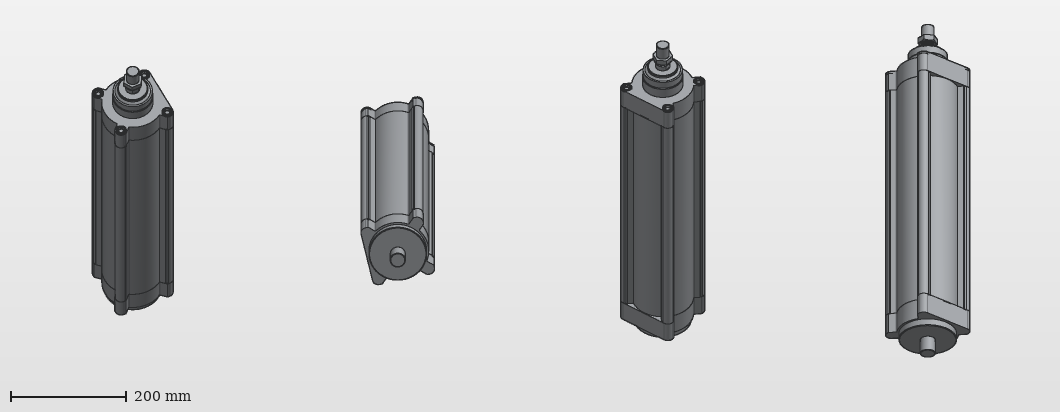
import cadquery as cq
import math

rear_shaft_end = 0.0
spigot_bottom = 27.5
rear_cap_bottom = 40.5
barrel_bottom = 78.5
barrel_top = 526.0
front_cap_top = 564.0
collar_step = 584.5
collar_top = 597.5
wiper_cone_top = 601.0
wiper_top = 605.5
rod_shoulder = 614.5
stud_bottom = 618.0
nut_bottom = 620.0
rod_end = 654.5

half_width = 55.0
body_radius = 53.5
lobe_offset = 44.5
lobe_radius = half_width - lobe_offset
valley_fillet = 1.0

side_shift = 15.0

step_start = 37.0
step_end = 40.0

screw_recess_diameter = 18.0
screw_head_diameter = 16.0
screw_head_chamfer = 0.5
screw_socket_diameter = 8.5
socket_mouth_diameter = 12.0
screw_recess_depth = 3.0

collar_diameter = 70.0
collar_upper_diameter = 68.0
collar_chamfer = 2.0
wiper_base_diameter = 61.5
wiper_diameter = 52.5
wiper_top_diameter = 50.0
wiper_chamfer = 1.0

spigot_diameter = 100.0
spigot_chamfer = 1.0
rear_shaft_diameter = 26.0
rear_shaft_end_diameter = 24.0

rod_diameter = 25.0
rod_flat_width = 22.0
undercut_diameter = 18.0
stud_diameter = 22.0
stud_end_diameter = 20.0

nut_across_flats = 30.0
nut_thickness = 11.0
nut_chamfer_diameter = 28.0


def cylinder(diameter, bottom, top):
    return cq.Workplane("XY").workplane(offset=bottom).circle(diameter / 2).extrude(top - bottom)


def turned(profile):
    """Revolve (diameter, height) pairs, listed upwards, about the Z axis."""
    points = [(diameter / 2, height) for diameter, height in profile]
    points = [(0, points[0][1])] + points + [(0, points[-1][1])]
    return cq.Workplane("XZ").polyline(points).close().revolve(360, (0, 0, 0), (0, 1, 0))


def valley_point():
    """Point where the upper side of the +X +Y lobe leaves the round body."""
    x = (math.sqrt(2 * body_radius**2 - side_shift**2) - side_shift) / 2
    return x, x + side_shift


def lobe_outline(upper_side):
    """Closed outline of the +X +Y lobe, given the points of its upper side from the body outwards."""
    lower_side = [(y, x) for x, y in reversed(upper_side)]
    arc_middle = lobe_offset + lobe_radius * math.sqrt(0.5)
    outline = cq.Workplane("XY").polyline([(0, 0)] + upper_side)
    outline = outline.threePointArc((arc_middle, arc_middle), lower_side[0])
    for point in lower_side[1:]:
        outline = outline.lineTo(*point)
    return outline.close()


def cap_lobe():
    """Lobe with a short flat between its 45-degree sides and its round corner."""
    return lobe_outline([
        valley_point(),
        (half_width - side_shift, half_width),
        (lobe_offset, half_width),
    ])


def barrel_lobe():
    """Lobe with a step in each side; past the step a second 45-degree line runs to the round corner."""
    step_height = step_start + side_shift
    sideways = (step_height - step_end) / 2
    outwards = math.sqrt(lobe_radius**2 / 2 - sideways**2)
    return lobe_outline([
        valley_point(),
        (step_start, step_height),
        (step_end, step_height),
        (lobe_offset - sideways + outwards, lobe_offset + sideways + outwards),
    ])


def lobed_block(outline, bottom, top):
    """Round block with a lobe at each of its four corners."""
    block = cylinder(2 * body_radius, bottom, top)
    corner = outline.extrude(top - bottom).translate((0, 0, bottom))
    for quarter in range(4):
        block = block.union(corner.rotate((0, 0, 0), (0, 0, 1), 90 * quarter))
    return block


def fillet_valleys(block, highest_y):
    """Round the upright edges where lobes meet the body, only those below the given Y."""
    nearer_offset, _ = valley_point()

    def in_valley(edge):
        middle = edge.Center()
        offset = min(abs(middle.x), abs(middle.y))
        return math.isclose(offset, nearer_offset, abs_tol=0.0005) and middle.y < highest_y

    return block.edges("|Z").filter(in_valley).fillet(valley_fillet)


def cap_block(bottom, top):
    """Lobed block whose +Y side is filled flat between the two lobes."""
    block = lobed_block(cap_lobe(), bottom, top)
    fill = (
        cq.Workplane("XY")
        .workplane(offset=bottom)
        .center(0, half_width / 2)
        .rect(2 * lobe_offset, half_width)
        .extrude(top - bottom)
    )
    return fillet_valleys(block.union(fill), half_width)


def screw_recess():
    """Ring-shaped recess around a chamfered screw head with a countersunk round socket."""
    recess_bottom = front_cap_top - screw_recess_depth
    head = cylinder(screw_head_diameter, recess_bottom, front_cap_top)
    head = head.faces(">Z").chamfer(screw_head_chamfer)
    mouth_depth = (socket_mouth_diameter - screw_socket_diameter) / 2
    socket = turned([
        (screw_socket_diameter, recess_bottom),
        (screw_socket_diameter, front_cap_top - mouth_depth),
        (socket_mouth_diameter, front_cap_top),
    ])
    head = head.cut(socket)
    return cylinder(screw_recess_diameter, recess_bottom, front_cap_top).cut(head)


def make_front_cap():
    cap = cap_block(barrel_top, front_cap_top)
    collar = turned([
        (collar_diameter, front_cap_top),
        (collar_diameter, collar_step - collar_chamfer),
        (collar_upper_diameter, collar_step),
        (collar_upper_diameter, collar_top),
        (wiper_base_diameter, collar_top),
        (wiper_diameter, wiper_cone_top),
        (wiper_diameter, wiper_top - wiper_chamfer),
        (wiper_top_diameter, wiper_top),
    ])
    cap = cap.union(collar)
    for x in (-lobe_offset, lobe_offset):
        for y in (-lobe_offset, lobe_offset):
            cap = cap.cut(screw_recess().translate((x, y, 0)))
    return cap.cut(cylinder(rod_diameter, barrel_top, wiper_top))


def make_barrel():
    return fillet_valleys(lobed_block(barrel_lobe(), barrel_bottom, barrel_top), 0)


def make_rear_cap():
    cap = cap_block(rear_cap_bottom, barrel_bottom)
    shaft_chamfer = (rear_shaft_diameter - rear_shaft_end_diameter) / 2
    spigot_and_shaft = turned([
        (rear_shaft_end_diameter, rear_shaft_end),
        (rear_shaft_diameter, rear_shaft_end + shaft_chamfer),
        (rear_shaft_diameter, spigot_bottom),
        (spigot_diameter - 2 * spigot_chamfer, spigot_bottom),
        (spigot_diameter, spigot_bottom + spigot_chamfer),
        (spigot_diameter, rear_cap_bottom),
    ])
    return cap.union(spigot_and_shaft)


def make_rod():
    stud_chamfer = (stud_diameter - stud_end_diameter) / 2
    rod = turned([
        (rod_diameter, barrel_top),
        (rod_diameter, rod_shoulder),
        (undercut_diameter, rod_shoulder),
        (undercut_diameter, stud_bottom),
        (stud_diameter, stud_bottom),
        (stud_diameter, rod_end - stud_chamfer),
        (stud_end_diameter, rod_end),
    ])
    for side in (-1, 1):
        beyond_flat = (
            cq.Workplane("XY")
            .workplane(offset=wiper_top)
            .center(side * (rod_flat_width + rod_diameter) / 2, 0)
            .rect(rod_diameter, rod_diameter)
            .extrude(rod_shoulder - wiper_top)
        )
        rod = rod.cut(beyond_flat)
    return rod


def make_nut():
    nut_top = nut_bottom + nut_thickness
    across_corners = nut_across_flats / math.cos(math.pi / 6)
    hexagon = (
        cq.Workplane("XY")
        .workplane(offset=nut_bottom)
        .polygon(6, across_corners)
        .extrude(nut_thickness)
        .rotate((0, 0, 0), (0, 0, 1), 30)
    )
    chamfer_height = (across_corners - nut_chamfer_diameter) / 2 * math.tan(math.pi / 6)
    envelope = turned([
        (nut_chamfer_diameter, nut_bottom),
        (across_corners, nut_bottom + chamfer_height),
        (across_corners, nut_top),
    ])
    return hexagon.intersect(envelope).cut(cylinder(stud_diameter, nut_bottom, nut_top))


front_cap = make_front_cap()
barrel = make_barrel()
rear_cap = make_rear_cap()
rod = make_rod()
nut = make_nut()

result = cq.Compound.makeCompound([
    front_cap.val(),
    barrel.val(),
    rear_cap.val(),
    rod.val(),
    nut.val(),
])